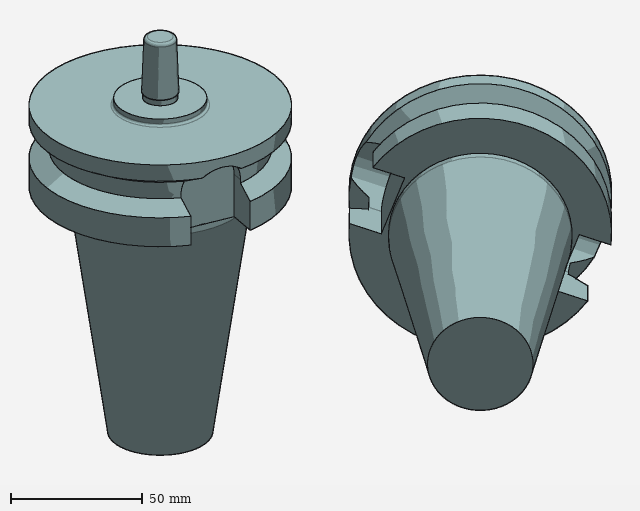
import cadquery as cq
import math

GAUGE_DIAMETER = 69.85
SHANK_LENGTH = 101.8
SHANK_TAPER = 7 / 24

COLLAR_HEIGHT = 3.0
FLANGE_DIAMETER = 100.0
FLANGE_TOP = 38.0
GROOVE_CENTER = 23.2
GROOVE_FLOOR_DIAMETER = 85.0
GROOVE_FLOOR_WIDTH = 7.0
GROOVE_FLANK_ANGLE = 30.0

SLOT_WIDTH = 25.7
SLOT_FLOOR_DISTANCE = 35.4
SLOT_TOP = 34.0

PAD_DIAMETER = 35.5
PAD_HEIGHT = 3.0
PAD_FILLET = 1.0

POST_TOP = 67.23
NECK_DIAMETER = 13.4
NECK_HEIGHT = 2.3
POST_LARGE_DIAMETER = 14.3
POST_SMALL_DIAMETER = 12.5
POST_LOWER_CHAMFER = 0.4
POST_TOP_FILLET = 1.4


def make_shank_and_flange():
    """Revolve the taper shank and the grooved flange as one profile."""
    gauge_radius = GAUGE_DIAMETER / 2
    shank_end_radius = gauge_radius - SHANK_LENGTH * SHANK_TAPER / 2
    flange_radius = FLANGE_DIAMETER / 2
    groove_radius = GROOVE_FLOOR_DIAMETER / 2
    floor_half_width = GROOVE_FLOOR_WIDTH / 2
    flank_rise = (flange_radius - groove_radius) * math.tan(math.radians(GROOVE_FLANK_ANGLE))
    mouth_half_width = floor_half_width + flank_rise
    profile = [
        (0, -SHANK_LENGTH),
        (shank_end_radius, -SHANK_LENGTH),
        (gauge_radius, 0),
        (gauge_radius, COLLAR_HEIGHT),
        (flange_radius, COLLAR_HEIGHT),
        (flange_radius, GROOVE_CENTER - mouth_half_width),
        (groove_radius, GROOVE_CENTER - floor_half_width),
        (groove_radius, GROOVE_CENTER + floor_half_width),
        (flange_radius, GROOVE_CENTER + mouth_half_width),
        (flange_radius, FLANGE_TOP),
        (0, FLANGE_TOP),
    ]
    return cq.Workplane("XZ").polyline(profile).close().revolve(360, (0, 0), (0, 1))


def make_slot_cutter(side):
    """Round-topped drive slot, open at the flange underside; side is -1 or +1 along X."""
    half_width = SLOT_WIDTH / 2
    arc_center = SLOT_TOP - half_width
    cut_depth = FLANGE_DIAMETER / 2 - SLOT_FLOOR_DISTANCE
    return (
        cq.Workplane("YZ", origin=(side * SLOT_FLOOR_DISTANCE, 0, 0))
        .moveTo(-half_width, COLLAR_HEIGHT)
        .lineTo(half_width, COLLAR_HEIGHT)
        .lineTo(half_width, arc_center)
        .threePointArc((0, SLOT_TOP), (-half_width, arc_center))
        .close()
        .extrude(side * cut_depth)
    )


def make_pad_and_post():
    """Revolve the pad, with a concave fillet at its foot, and the chuck post above it."""
    pad_radius = PAD_DIAMETER / 2
    pad_top = FLANGE_TOP + PAD_HEIGHT
    neck_radius = NECK_DIAMETER / 2
    neck_top = pad_top + NECK_HEIGHT
    large_radius = POST_LARGE_DIAMETER / 2
    small_radius = POST_SMALL_DIAMETER / 2
    arc_offset = PAD_FILLET * (1 - math.sqrt(0.5))
    body = (
        cq.Workplane("XZ")
        .moveTo(0, FLANGE_TOP)
        .lineTo(pad_radius + PAD_FILLET, FLANGE_TOP)
        .threePointArc(
            (pad_radius + arc_offset, FLANGE_TOP + arc_offset),
            (pad_radius, FLANGE_TOP + PAD_FILLET),
        )
        .lineTo(pad_radius, pad_top)
        .lineTo(neck_radius, pad_top)
        .lineTo(neck_radius, neck_top)
        .lineTo(large_radius - POST_LOWER_CHAMFER, neck_top)
        .lineTo(large_radius, neck_top + POST_LOWER_CHAMFER)
        .lineTo(small_radius, POST_TOP)
        .lineTo(0, POST_TOP)
        .close()
        .revolve(360, (0, 0), (0, 1))
    )
    return body.faces(">Z").edges().fillet(POST_TOP_FILLET)


result = make_shank_and_flange()
for slot_side in (-1, 1):
    result = result.cut(make_slot_cutter(slot_side))
result = result.union(make_pad_and_post())